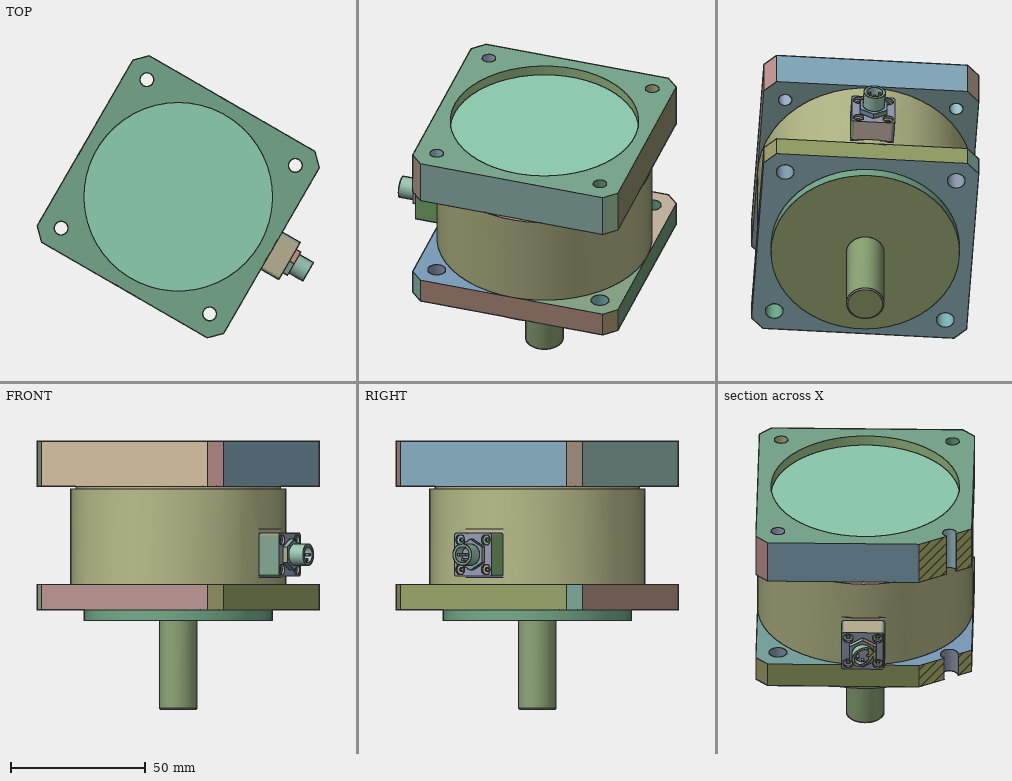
import cadquery as cq
import math

PART_TURN = -30.0

FLANGE_SIDE = 80.0
FLANGE_CORNER_DIAMETER = 107.0
BOLT_CIRCLE = 90.0
BOLT_COUNT = 4
BOLT_START_ANGLE = 45.0
OUTPUT_FLANGE_THICKNESS = 9.5
OUTPUT_HOLE_DIAMETER = 6.6
INPUT_FLANGE_THICKNESS = 16.8
INPUT_HOLE_DIAMETER = 5.0
INPUT_RECESS_DIAMETER = 70.0
INPUT_RECESS_DEPTH = 4.0

SHAFT_DIAMETER = 14.0
SHAFT_LENGTH = 33.0
SHAFT_CHAMFER = 0.5
PILOT_DIAMETER = 70.0
PILOT_HEIGHT = 4.0
TOTAL_HEIGHT = 99.7
BODY_DIAMETER = 80.0
NECK_DIAMETER = 76.0
NECK_HEIGHT = 1.0

INPUT_FACE_Z = TOTAL_HEIGHT - SHAFT_LENGTH - PILOT_HEIGHT
INPUT_FLANGE_Z = INPUT_FACE_Z - INPUT_FLANGE_THICKNESS
NECK_Z = INPUT_FLANGE_Z - NECK_HEIGHT

BLOCK_SIDE = 16.0
BLOCK_EDGE_RADIUS = 1.0
BLOCK_FACE_X = 47.7
CONNECTOR_Z = 20.5
SEAT_HEIGHT = 18.0
SEAT_Z = 21.0
SEAT_X = math.sqrt((BODY_DIAMETER / 2) ** 2 - (BLOCK_SIDE / 2) ** 2)

SCREW_SPACING = 11.0
SCREW_BORE_DIAMETER = 3.8
SCREW_BORE_DEPTH = 1.0
SOCKET_ACROSS_FLATS = 1.5
SOCKET_DEPTH = 1.0

NUT_ACROSS_FLATS = 10.0
NUT_THICKNESS = 2.0
NUT_TURN = 30.0
PLUG_DIAMETER = 8.0
PLUG_LENGTH = 8.0
PLUG_BORE_DIAMETER = 5.88
PLUG_BORE_DEPTH = 5.0
PIN_DIAMETER = 1.0
PIN_CIRCLE_RADIUS = 1.87
PIN_SETBACK = 0.4
PIN_ANGLES = (0.0, 180.0, 270.0)


def cylinder(diameter, bottom_z, height):
    return cq.Workplane("XY").workplane(offset=bottom_z).circle(diameter / 2).extrude(height)


def hexagon_circle(across_flats):
    """Diameter of the circle through the corners of a hexagon."""
    return across_flats / math.cos(math.pi / 6)


def connector_plane(x):
    """Plane facing +X and centred on the connector; its own axes are Y and Z."""
    return cq.Workplane("YZ", origin=(x, 0, CONNECTOR_Z))


def flange(bottom_z, thickness, hole_diameter):
    half_side = FLANGE_SIDE / 2
    corner_cut = half_side - math.sqrt((FLANGE_CORNER_DIAMETER / 2) ** 2 - half_side**2)
    return (
        cq.Workplane("XY")
        .workplane(offset=bottom_z)
        .rect(FLANGE_SIDE, FLANGE_SIDE)
        .extrude(thickness)
        .edges("|Z")
        .chamfer(corner_cut)
        .faces(">Z")
        .workplane(origin=(0, 0, 0))
        .polarArray(BOLT_CIRCLE / 2, BOLT_START_ANGLE, 360, BOLT_COUNT)
        .hole(hole_diameter)
    )


def housing():
    shaft = cylinder(SHAFT_DIAMETER, -PILOT_HEIGHT - SHAFT_LENGTH, SHAFT_LENGTH)
    shaft = shaft.faces("<Z").chamfer(SHAFT_CHAMFER)
    pilot = cylinder(PILOT_DIAMETER, -PILOT_HEIGHT, PILOT_HEIGHT)
    output_flange = flange(0, OUTPUT_FLANGE_THICKNESS, OUTPUT_HOLE_DIAMETER)
    body = cylinder(BODY_DIAMETER, OUTPUT_FLANGE_THICKNESS, NECK_Z - OUTPUT_FLANGE_THICKNESS)
    neck = cylinder(NECK_DIAMETER, NECK_Z, NECK_HEIGHT)
    input_flange = flange(INPUT_FLANGE_Z, INPUT_FLANGE_THICKNESS, INPUT_HOLE_DIAMETER)
    recess = cylinder(INPUT_RECESS_DIAMETER, INPUT_FACE_Z - INPUT_RECESS_DEPTH, INPUT_RECESS_DEPTH)
    stack = shaft.union(pilot).union(output_flange).union(body).union(neck).union(input_flange)
    return stack.cut(recess)


def seat_cut():
    """Material removed from the body to leave a flat seat for the connector block."""
    seat_plane = cq.Workplane("YZ", origin=(SEAT_X, 0, SEAT_Z))
    return seat_plane.rect(BLOCK_SIDE, SEAT_HEIGHT).extrude(BODY_DIAMETER / 2 - SEAT_X)


def connector_block():
    block = (
        connector_plane(SEAT_X)
        .rect(BLOCK_SIDE, BLOCK_SIDE)
        .extrude(BLOCK_FACE_X - SEAT_X)
        .edges("|X")
        .fillet(BLOCK_EDGE_RADIUS)
    )
    bores = (
        connector_plane(BLOCK_FACE_X)
        .rect(SCREW_SPACING, SCREW_SPACING, forConstruction=True)
        .vertices()
        .circle(SCREW_BORE_DIAMETER / 2)
        .extrude(-SCREW_BORE_DEPTH)
    )
    sockets = (
        connector_plane(BLOCK_FACE_X - SCREW_BORE_DEPTH)
        .rect(SCREW_SPACING, SCREW_SPACING, forConstruction=True)
        .vertices()
        .polygon(6, hexagon_circle(SOCKET_ACROSS_FLATS))
        .extrude(-SOCKET_DEPTH)
    )
    return block.cut(bores).cut(sockets)


def plug():
    nut = (
        connector_plane(BLOCK_FACE_X)
        .transformed(rotate=(0, 0, NUT_TURN))
        .polygon(6, hexagon_circle(NUT_ACROSS_FLATS))
        .extrude(NUT_THICKNESS)
    )
    end_x = BLOCK_FACE_X + PLUG_LENGTH
    barrel = connector_plane(BLOCK_FACE_X).circle(PLUG_DIAMETER / 2).extrude(PLUG_LENGTH)
    bore = connector_plane(end_x).circle(PLUG_BORE_DIAMETER / 2).extrude(-PLUG_BORE_DEPTH)
    pin_centres = [
        (
            PIN_CIRCLE_RADIUS * math.cos(math.radians(angle)),
            PIN_CIRCLE_RADIUS * math.sin(math.radians(angle)),
        )
        for angle in PIN_ANGLES
    ]
    pins = (
        connector_plane(end_x - PLUG_BORE_DEPTH)
        .pushPoints(pin_centres)
        .circle(PIN_DIAMETER / 2)
        .extrude(PLUG_BORE_DEPTH - PIN_SETBACK)
    )
    return nut.union(barrel).cut(bore).union(pins)


part = housing().cut(seat_cut()).union(connector_block()).union(plug())
result = part.rotate((0, 0, 0), (0, 0, 1), PART_TURN)